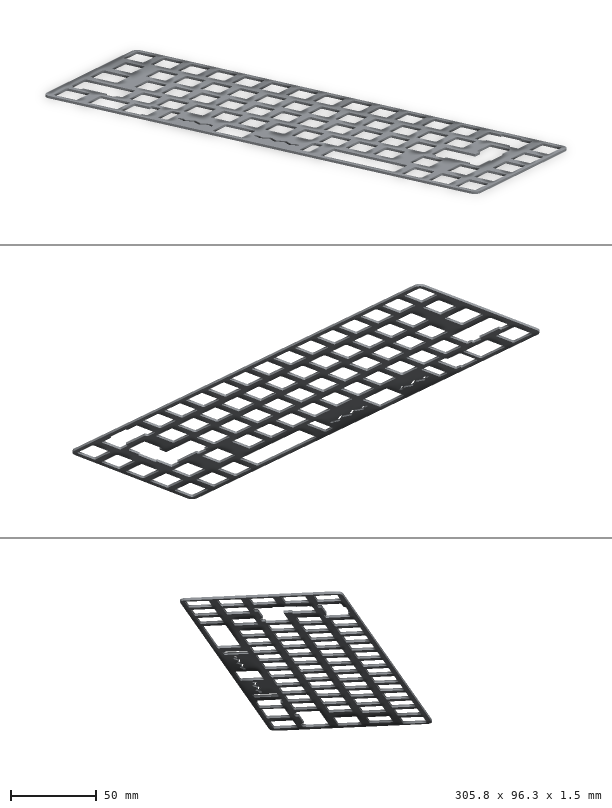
import cadquery as cq


plate_length = 305.8
plate_depth = 96.3
plate_thickness = 1.5
plate_corner_radius = 4.3

side_margin = 0.45
units_wide = 16
rows = 5
quarters_per_unit = 4
key_unit = (plate_length - 2 * side_margin) / units_wide
quarter = key_unit / quarters_per_unit
single = quarters_per_unit

switch_wall = 2.5
switch_size = key_unit - 2 * switch_wall
opening_corner_radius = 1.0
stab_width = 7.0
stab_front = 9.0
stab_back = 5.8
stab_offset = 12.0
long_bar_offset = 10.5 * quarter
longest_bar_offset = 3 * key_unit

flex_slot_width = 1.8
flex_amplitude = 1.2
flex_half_wave = 5.2
flex_straight = 1.8
short_flex_bends = 4
long_flex_bends = 5
short_flex_start = -63.3
long_flex_start = -9.8

backspace = (52, 8)
wide_enter = (51, 9)
tall_enter = (55, 5)
left_shift = (0, 9)
long_bar = (15, 25)
longest_bar = (12, 28)

number_row, tab_row, caps_row, shift_row, front_row = range(rows)

key_runs = [
    (number_row, 0, single, 13),
    (number_row, *backspace, 1),
    (number_row, 60, single, 1),
    (tab_row, 0, 6, 1),
    (tab_row, 6, single, 12),
    (tab_row, 54, 6, 1),
    (tab_row, 60, single, 1),
    (caps_row, 0, 7, 1),
    (caps_row, 0, 5, 1),
    (caps_row, 7, single, 12),
    (caps_row, *wide_enter, 1),
    (caps_row, 60, single, 1),
    (shift_row, *left_shift, 1),
    (shift_row, 0, 5, 1),
    (shift_row, 5, single, 11),
    (shift_row, 49, 7, 1),
    (shift_row, 56, single, 2),
    (front_row, 0, 5, 2),
    (front_row, 0, 6, 2),
    (front_row, 10, 5, 1),
    (front_row, *longest_bar, 1),
    (front_row, *long_bar, 1),
    (front_row, 52, single, 3),
]

modifiers_first = 40
modifiers_last = 48


def key_x(first_quarter, key_width=single):
    """X of the centre of a key that starts at the given quarter."""
    return (first_quarter + key_width / 2) * quarter - units_wide * key_unit / 2


def row_y(row):
    """Y of the centre line of a row."""
    return ((rows - 1) / 2 - row) * key_unit


def box(x_min, x_max, y_min, y_max):
    """Cutting block through the plate, with rounded corners."""
    return (
        cq.Workplane("XY")
        .center((x_min + x_max) / 2, (y_min + y_max) / 2)
        .rect(x_max - x_min, y_max - y_min)
        .extrude(plate_thickness)
        .edges("|Z")
        .fillet(opening_corner_radius)
    )


def switch_cut(x, y, last_x=None):
    """Square switch opening, stretched along X when a last centre is given."""
    half = switch_size / 2
    end = x if last_x is None else last_x
    return box(x - half, end + half, y - half, y + half)


def stabilizer_pad(x, y, front=stab_front, back=stab_back):
    """Opening for one stabilizer housing, with its reach to the front and to the back."""
    return box(x - stab_width / 2, x + stab_width / 2, y - front, y + back)


def stabilizer_cut(x, y):
    """Two housing openings either side of a two-unit key, joined by a channel."""
    half = switch_size / 2
    channel = box(x - stab_offset, x + stab_offset, y - half, y + stab_back)
    return channel.union(stabilizer_pad(x - stab_offset, y)).union(stabilizer_pad(x + stab_offset, y))


def tall_enter_cut(x, y):
    """Switch and upright stabilizer of the tall enter key, with the housings reaching left."""
    upright = stabilizer_cut(0, 0).rotate((0, 0, 0), (0, 0, 1), -90).translate((x, y, 0))
    return upright.union(switch_cut(x, y))


def flex_slot(x_start, y, bends, tail):
    """Zigzag slot: a straight lead, bends alternating front and back, then a tail."""
    wave_start = x_start + flex_straight
    centre_line = [(x_start, y), (wave_start, y)]
    for i in range(bends):
        side = -1 if i % 2 == 0 else 1
        centre_line.append((wave_start + (i + 0.5) * flex_half_wave, y + side * flex_amplitude))
    wave_end = wave_start + bends * flex_half_wave
    centre_line.append((wave_end, y))
    if tail > 0:
        centre_line.append((wave_end + tail, y))
    return cq.Workplane("XY").polyline(centre_line).offset2D(flex_slot_width / 2).extrude(plate_thickness)


cuts = []

for row, first, width, count in key_runs:
    for i in range(count):
        cuts.append(switch_cut(key_x(first + i * width, width), row_y(row)))
cuts.append(switch_cut(key_x(modifiers_first), row_y(front_row), key_x(modifiers_last)))

cuts.append(stabilizer_cut(key_x(*backspace), row_y(number_row)))
cuts.append(stabilizer_cut(key_x(*wide_enter), row_y(caps_row)))
cuts.append(stabilizer_cut(key_x(*left_shift), row_y(shift_row)))
cuts.append(tall_enter_cut(key_x(*tall_enter), (row_y(tab_row) + row_y(caps_row)) / 2))

for centre, offset in ((key_x(*long_bar), long_bar_offset), (key_x(*longest_bar), longest_bar_offset)):
    for x in (centre - offset, centre + offset):
        cuts.append(stabilizer_pad(x, row_y(front_row), front=stab_back, back=stab_front))

openings = cq.Workplane(cuts[0].val().fuse(*[cut.val() for cut in cuts[1:]]))

short_flex_slot = flex_slot(short_flex_start, row_y(front_row), short_flex_bends, 0)
long_flex_slot = flex_slot(long_flex_start, row_y(front_row), long_flex_bends, flex_straight)

result = (
    cq.Workplane("XY")
    .rect(plate_length, plate_depth)
    .extrude(plate_thickness)
    .edges("|Z")
    .fillet(plate_corner_radius)
    .cut(openings)
    .cut(short_flex_slot)
    .cut(long_flex_slot)
)